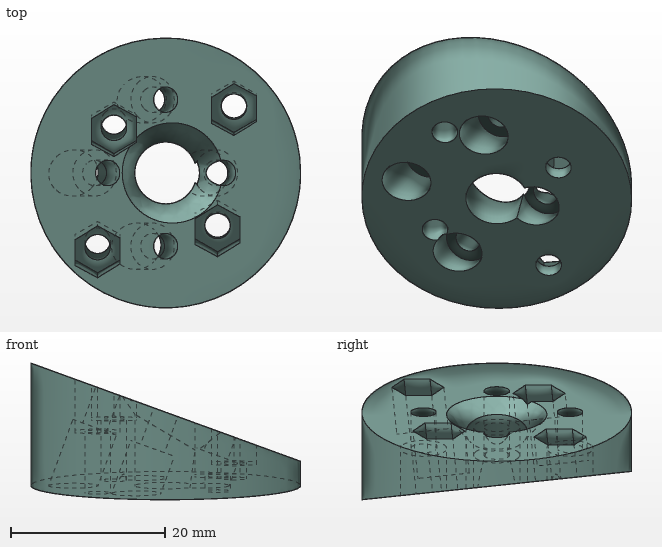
import cadquery as cq
import math

BODY_DIAMETER = 35.0
TOP_TILT = 20.0
BOTTOM_TILT = 6.0
OVERALL_HEIGHT = 17.74

BORE_DIAMETER = 8.0
BORE_CHAMFER = 2.5

SCREW_DIAMETER = 3.3
SCREW_HEAD_DIAMETER = 6.0
SCREW_SPACING_X = 16.0
SCREW_SPACING_Y = 19.0
SCREW_FLOOR = 5.0
SCREW_FLOOR_THIN_SIDE = 3.0

NUT_BOLT_DIAMETER = 3.3
NUT_ACROSS_FLATS = 5.8
NUT_SHORT_DIAGONAL = 19.0
NUT_LONG_DIAGONAL = 25.0
NUT_SEAT_HIGH_SIDE = 8.0
NUT_SEAT_LOW_SIDE = 2.0

BODY_RADIUS = BODY_DIAMETER / 2
TOP_ANGLE = math.radians(TOP_TILT)
BOTTOM_ANGLE = math.radians(BOTTOM_TILT)
TOP_CENTRE_Z = OVERALL_HEIGHT - BODY_RADIUS * (math.tan(TOP_ANGLE) + math.tan(BOTTOM_ANGLE))
CUT_LENGTH = 2 * OVERALL_HEIGHT
TRIM_SIZE = 3 * BODY_DIAMETER

TOP_PLANE = cq.Plane(
    origin=(0, 0, TOP_CENTRE_Z),
    xDir=(math.cos(TOP_ANGLE), 0, -math.sin(TOP_ANGLE)),
    normal=(math.sin(TOP_ANGLE), 0, math.cos(TOP_ANGLE)),
)
BOTTOM_PLANE = cq.Plane(
    origin=(0, 0, 0),
    xDir=(1, 0, 0),
    normal=(0, -math.sin(BOTTOM_ANGLE), math.cos(BOTTOM_ANGLE)),
)


def make_body():
    """Upright cylinder trimmed by the two tilted faces."""
    body = cq.Workplane("XY").circle(BODY_RADIUS).extrude(CUT_LENGTH, both=True)
    above = cq.Workplane(TOP_PLANE).rect(TRIM_SIZE, TRIM_SIZE).extrude(TRIM_SIZE)
    below = cq.Workplane(BOTTOM_PLANE).rect(TRIM_SIZE, TRIM_SIZE).extrude(-TRIM_SIZE)
    return body.cut(above).cut(below)


def tilted_rim(centre_x, centre_z, radius, slope_angle):
    """Ellipse on a plane falling toward +X that looks like a circle from above."""
    normal = cq.Vector(math.sin(slope_angle), 0, math.cos(slope_angle))
    along_slope = cq.Vector(math.cos(slope_angle), 0, -math.sin(slope_angle))
    rim = cq.Edge.makeEllipse(
        radius / math.cos(slope_angle),
        radius,
        cq.Vector(centre_x, 0, centre_z),
        normal,
        along_slope,
    )
    return cq.Wire.assembleEdges([rim])


def bore_cutters():
    """Upright bore with a chamfer that widens toward the low side of the top face.

    The chamfer joins the two curves where a ball of radius BORE_CHAMFER, rolling
    inside the material around the bore edge, touches the top face and the bore wall.
    """
    bore_radius = BORE_DIAMETER / 2
    ball_path_radius = bore_radius + BORE_CHAMFER
    upper_x = BORE_CHAMFER * math.sin(TOP_ANGLE)
    upper_rim = tilted_rim(
        upper_x,
        TOP_CENTRE_Z - upper_x * math.tan(TOP_ANGLE),
        ball_path_radius,
        TOP_ANGLE,
    )
    lower_slope = math.tan(TOP_ANGLE) * ball_path_radius / bore_radius
    lower_rim = tilted_rim(
        0,
        TOP_CENTRE_Z - BORE_CHAMFER / math.cos(TOP_ANGLE),
        bore_radius,
        math.atan(lower_slope),
    )
    chamfer = cq.Solid.makeLoft([lower_rim, upper_rim], True)
    bore = cq.Workplane("XY").circle(bore_radius).extrude(CUT_LENGTH, both=True)
    return bore, chamfer


def screw_cut(x, y, floor):
    """Screw hole square to the top face, leaving a floor above its head recess."""
    hole = cq.Workplane(TOP_PLANE).center(x, y).circle(SCREW_DIAMETER / 2)
    hole = hole.extrude(CUT_LENGTH, both=True)
    recess = cq.Workplane(TOP_PLANE).workplane(offset=-floor).center(x, y)
    recess = recess.circle(SCREW_HEAD_DIAMETER / 2).extrude(-CUT_LENGTH)
    return hole.union(recess)


def nut_cut(x, y, seat):
    """Bolt hole square to the bottom face, with a hexagonal nut pocket from above."""
    hole = cq.Workplane(BOTTOM_PLANE).center(x, y).circle(NUT_BOLT_DIAMETER / 2)
    hole = hole.extrude(CUT_LENGTH, both=True)
    across_corners = NUT_ACROSS_FLATS * 2 / math.sqrt(3)
    pocket = (
        cq.Workplane(BOTTOM_PLANE)
        .workplane(offset=seat)
        .center(x, y)
        .transformed(rotate=(0, 0, 90))
        .polygon(6, across_corners)
        .extrude(CUT_LENGTH)
    )
    return hole.union(pocket)


result = make_body()
for cutter in bore_cutters():
    result = result.cut(cutter)

half_x = SCREW_SPACING_X / 2
half_y = SCREW_SPACING_Y / 2
for x, y, floor in (
    (-half_x, 0, SCREW_FLOOR),
    (half_x, 0, SCREW_FLOOR_THIN_SIDE),
    (0, -half_y, SCREW_FLOOR),
    (0, half_y, SCREW_FLOOR),
):
    result = result.cut(screw_cut(x, y, floor))

short_offset = NUT_SHORT_DIAGONAL / 2 / math.sqrt(2)
long_offset = NUT_LONG_DIAGONAL / 2 / math.sqrt(2)
for x, y, seat in (
    (-short_offset, short_offset, NUT_SEAT_HIGH_SIDE),
    (short_offset, -short_offset, NUT_SEAT_LOW_SIDE),
    (-long_offset, -long_offset, NUT_SEAT_HIGH_SIDE),
    (long_offset, long_offset, NUT_SEAT_LOW_SIDE),
):
    result = result.cut(nut_cut(x, y, seat))